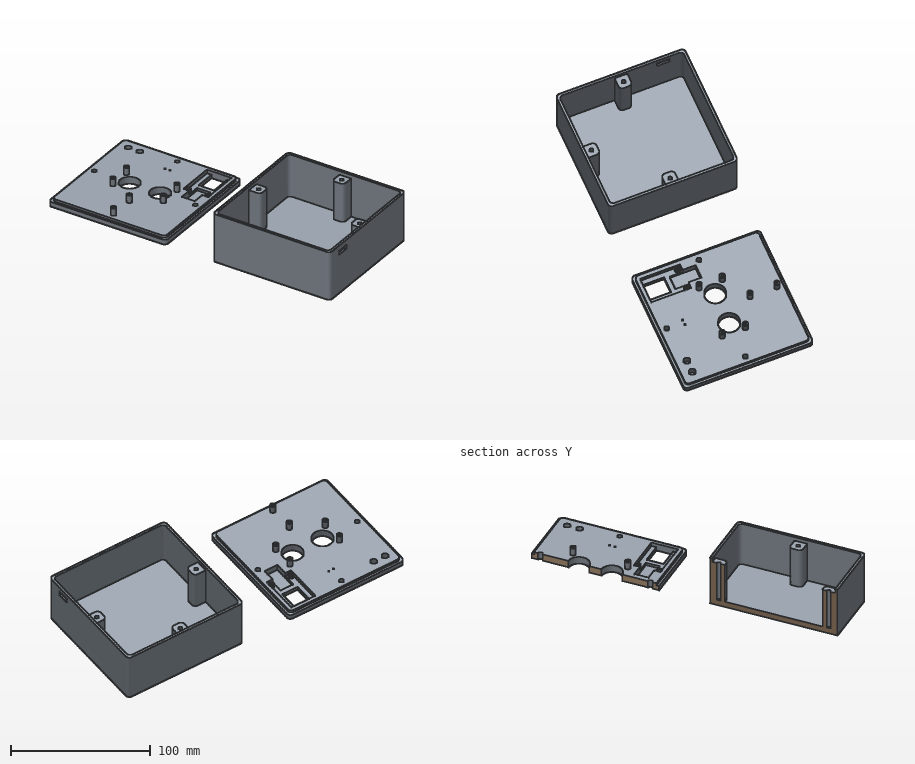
import cadquery as cq

SIDE = 100.0
OVERALL_LENGTH = 240.0
CORNER_DIAMETER = 6.0
CORNER_RADIUS = CORNER_DIAMETER / 2
WALL = 2.0
BOX_HEIGHT = 40.0
BOX_FLOOR = 5.0
MIDDLE = SIDE / 2
BOX_X = OVERALL_LENGTH - SIDE

LID_RIM_THICKNESS = 2 * WALL
LID_LIP_HEIGHT = WALL
LID_THICKNESS = LID_RIM_THICKNESS + LID_LIP_HEIGHT

SCREW_INSET = 7.0
LID_SCREW_DIAMETER = 3.5
BOX_SCREW_DIAMETER = 3.0
SCREW_POINTS = [
    (SCREW_INSET, MIDDLE),
    (SIDE - SCREW_INSET, MIDDLE),
    (MIDDLE, SIDE - SCREW_INSET),
]

SCREW_POST_INNER_FACES = [">X", "<X", "<Y"]
SCREW_POST_WIDTH = 2 * (SCREW_INSET - WALL)
SCREW_POST_RADIUS = CORNER_RADIUS
LIP_CLEARANCE = 1.0
SCREW_POST_DROP = LID_LIP_HEIGHT + LIP_CLEARANCE
SCREW_POST_TOP = BOX_HEIGHT - SCREW_POST_DROP

CABLE_SLOT_LENGTH = 9.5
CABLE_SLOT_HEIGHT = 3.0
CABLE_SLOT_Y = 17.0
CABLE_SLOT_Z = 34.0

SENSOR_HOLE_DIAMETER = 16.0
SENSOR_SPACING = 26.0
SENSOR_POST_SPAN_X = 43.0
SENSOR_POST_SPAN_Y = 18.0
POST_DIAMETER = 4.0
POST_BORE_DIAMETER = 1.63
POST_HEIGHT = 6.0
LOWER_POST_X = 51.0
LOWER_POST_YS = [7.2, 28.0]

LAMP_HOLE_DIAMETER = 5.0
LAMP_HOLE_XS = [10.0, 20.0]
LAMP_HOLE_Y = 90.0
WIRE_HOLE_DIAMETER = 1.0
WIRE_HOLE_XS = [48.0, 52.0]
WIRE_HOLE_Y = 80.0

POCKET_CENTER_X = 84.5
POCKET_WIDTH = 21.0
POCKET_BOTTOM_Y = 64.0
POCKET_TOP_Y = 95.0
POCKET_DEPTH = LID_THICKNESS / 2
WINDOW_WIDTH = 13.2
WINDOW_BOTTOM_Y = 78.0
RECESS_WIDTH = 11.0
RECESS_BOTTOM_Y = 54.0
RECESS_TOP_Y = 74.2
RECESS_DEPTH = 5.0

PIN_DIAMETER = 4.0
PIN_BORE_DIAMETER = 2.6
PIN_SPACING = POCKET_WIDTH - PIN_DIAMETER
PIN_Y = 67.0
PIN_HEIGHT = 2.0


def rounded_block(height, inset=0.0, z=0.0):
    """Square block with rounded upright edges, centred in the outline of a half."""
    width = SIDE - 2 * inset
    return (
        cq.Workplane("XY", origin=(MIDDLE, MIDDLE, z))
        .rect(width, width)
        .extrude(height)
        .edges("|Z")
        .fillet(CORNER_RADIUS)
    )


def cylinders(points, diameter, z, height):
    """Upright cylinders at the given points, starting at height z."""
    return cq.Workplane("XY", origin=(0, 0, z)).pushPoints(points).circle(diameter / 2).extrude(height)


def pocket_block(width, y_low, y_high, depth):
    """Rectangular cutter that reaches down from the lid's top face."""
    return (
        cq.Workplane("XY")
        .box(width, y_high - y_low, depth, centered=(True, False, False))
        .translate((POCKET_CENTER_X, y_low, LID_THICKNESS - depth))
    )


def make_lid():
    """Stepped plate with hollow posts, round openings and the switch pocket."""
    lid = rounded_block(LID_RIM_THICKNESS)
    lid = lid.union(rounded_block(LID_LIP_HEIGHT, WALL, LID_RIM_THICKNESS))

    post_points = [
        (MIDDLE + sx * SENSOR_POST_SPAN_X / 2, MIDDLE + sy * SENSOR_POST_SPAN_Y / 2)
        for sx in (-1, 1)
        for sy in (-1, 1)
    ]
    post_points += [(LOWER_POST_X, y) for y in LOWER_POST_YS]
    lid = lid.union(cylinders(post_points, POST_DIAMETER, LID_THICKNESS, POST_HEIGHT))
    lid = lid.cut(cylinders(post_points, POST_BORE_DIAMETER, LID_THICKNESS, POST_HEIGHT))

    sensor_points = [(MIDDLE + s * SENSOR_SPACING / 2, MIDDLE) for s in (-1, 1)]
    through_holes = [
        (sensor_points, SENSOR_HOLE_DIAMETER),
        (SCREW_POINTS, LID_SCREW_DIAMETER),
        ([(x, LAMP_HOLE_Y) for x in LAMP_HOLE_XS], LAMP_HOLE_DIAMETER),
        ([(x, WIRE_HOLE_Y) for x in WIRE_HOLE_XS], WIRE_HOLE_DIAMETER),
    ]
    for points, diameter in through_holes:
        lid = lid.cut(cylinders(points, diameter, 0, LID_THICKNESS))

    lid = lid.cut(pocket_block(POCKET_WIDTH, POCKET_BOTTOM_Y, POCKET_TOP_Y, POCKET_DEPTH))
    lid = lid.cut(pocket_block(WINDOW_WIDTH, WINDOW_BOTTOM_Y, POCKET_TOP_Y, LID_THICKNESS))
    lid = lid.cut(pocket_block(RECESS_WIDTH, RECESS_BOTTOM_Y, RECESS_TOP_Y, RECESS_DEPTH))
    return lid


def make_pin(x):
    """Hollow pin standing on the pocket floor."""
    return (
        cq.Workplane("XY", origin=(x, PIN_Y, LID_THICKNESS - POCKET_DEPTH))
        .circle(PIN_DIAMETER / 2)
        .circle(PIN_BORE_DIAMETER / 2)
        .extrude(PIN_HEIGHT)
    )


def make_screw_post(x, y, inner_face):
    """Square post on the box floor, rounded on the two upright edges of its inner face."""
    return (
        cq.Workplane("XY", origin=(x, y, BOX_FLOOR))
        .rect(SCREW_POST_WIDTH, SCREW_POST_WIDTH)
        .extrude(SCREW_POST_TOP - BOX_FLOOR)
        .faces(inner_face)
        .edges("|Z")
        .fillet(SCREW_POST_RADIUS)
    )


def make_box():
    """Open-topped box with three screw posts and a cable slot."""
    box = rounded_block(BOX_HEIGHT)
    box = box.cut(rounded_block(BOX_HEIGHT - BOX_FLOOR, WALL, BOX_FLOOR))
    for (x, y), inner_face in zip(SCREW_POINTS, SCREW_POST_INNER_FACES):
        box = box.union(make_screw_post(x, y, inner_face))
    box = box.cut(cylinders(SCREW_POINTS, BOX_SCREW_DIAMETER, BOX_FLOOR, SCREW_POST_TOP - BOX_FLOOR))

    cable_slot = (
        cq.Workplane("YZ", origin=(SIDE - WALL, CABLE_SLOT_Y, CABLE_SLOT_Z))
        .rect(CABLE_SLOT_LENGTH, CABLE_SLOT_HEIGHT)
        .extrude(WALL)
    )
    return box.cut(cable_slot).translate((BOX_X, 0, 0))


lid = make_lid()
pins = [make_pin(POCKET_CENTER_X + s * PIN_SPACING / 2) for s in (-1, 1)]
box = make_box()

result = cq.Compound.makeCompound([lid.val(), box.val(), *[pin.val() for pin in pins]])